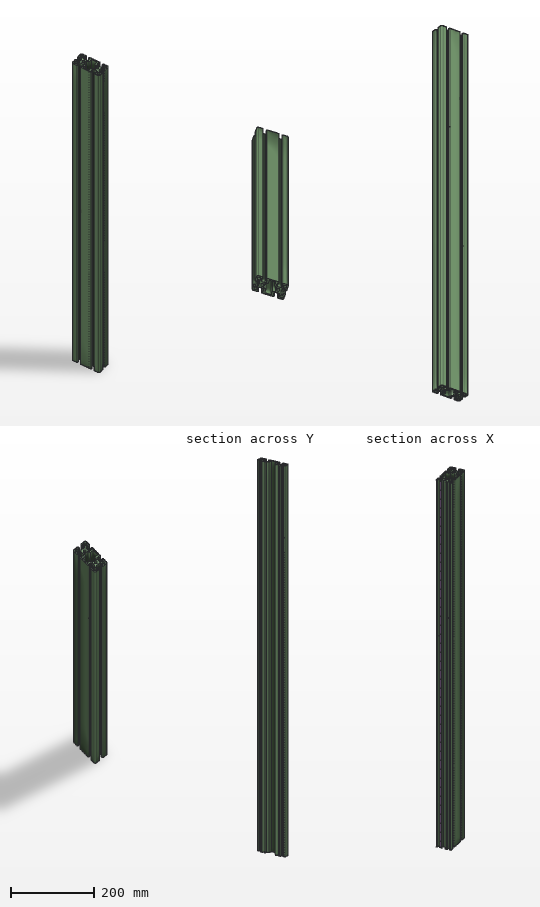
import cadquery as cq
LENGTH = 1000.0
MODULE = 40.0
WIDTH = 2 * MODULE
HALF_MODULE = MODULE / 2
CORNER_RADIUS = 4.0

SLOT_OPENING = 8.0
LIP_RADIUS = 2.0
LIP_THICKNESS = 6.0
POCKET_WIDTH = 14.0
POCKET_ROOF_RISE = 2.5
POCKET_SIDE_HEIGHT = 4.4
POCKET_FLOOR_WIDTH = 8.0
SLOT_DEPTH = 12.0

CORE_BORE_DIAMETER = 6.8

CORNER_WALL = 3.5
CORNER_HOLLOW_SIZE = 6.8
CORNER_HOLLOW_RADIUS = 2.3

CAVITY_WALL = 3.2
CAVITY_HALF_WIDTH = 15.0
CAVITY_FLAT_HALF_HEIGHT = 5.3
CAVITY_NECK_HALF_WIDTH = 8.2
CAVITY_SHOULDER_HEIGHT = 7.5

ARC_INSET = 1 - 0.5**0.5


def t_slot(x, y, angle):
    """T-slot cutter with its mouth at (x, y); at angle 0 it opens toward +Y."""
    half_opening = SLOT_OPENING / 2
    half_pocket = POCKET_WIDTH / 2
    half_floor = POCKET_FLOOR_WIDTH / 2
    mouth = half_opening + LIP_RADIUS
    arc_x = half_opening + ARC_INSET * LIP_RADIUS
    outer_arc_y = -ARC_INSET * LIP_RADIUS
    inner_arc_y = -LIP_THICKNESS + ARC_INSET * LIP_RADIUS
    inner_tangent_y = -LIP_THICKNESS + LIP_RADIUS
    roof_y = -LIP_THICKNESS + POCKET_ROOF_RISE
    side_end_y = -LIP_THICKNESS - POCKET_SIDE_HEIGHT

    cutter = (
        cq.Workplane("XY")
        .moveTo(mouth, 0)
        .threePointArc((arc_x, outer_arc_y), (half_opening, -LIP_RADIUS))
        .lineTo(half_opening, inner_tangent_y)
        .threePointArc((arc_x, inner_arc_y), (mouth, -LIP_THICKNESS))
        .lineTo(half_pocket, roof_y)
        .lineTo(half_pocket, side_end_y)
        .lineTo(half_floor, -SLOT_DEPTH)
        .lineTo(-half_floor, -SLOT_DEPTH)
        .lineTo(-half_pocket, side_end_y)
        .lineTo(-half_pocket, roof_y)
        .lineTo(-mouth, -LIP_THICKNESS)
        .threePointArc((-arc_x, inner_arc_y), (-half_opening, inner_tangent_y))
        .lineTo(-half_opening, -LIP_RADIUS)
        .threePointArc((-arc_x, outer_arc_y), (-mouth, 0))
        .close()
        .extrude(LENGTH)
    )
    return cutter.rotate((0, 0, 0), (0, 0, 1), angle).translate((x, y, 0))


def core_bore(x):
    """Round bore along the axis of a module."""
    return cq.Workplane("XY").center(x, 0).circle(CORE_BORE_DIAMETER / 2).extrude(LENGTH)


def corner_hollow(x_side, y_side):
    """Rounded square hollow inside one outer corner."""
    inset = CORNER_WALL + CORNER_HOLLOW_SIZE / 2
    return (
        cq.Workplane("XY")
        .center(x_side * (WIDTH / 2 - inset), y_side * (HALF_MODULE - inset))
        .rect(CORNER_HOLLOW_SIZE, CORNER_HOLLOW_SIZE)
        .extrude(LENGTH)
        .edges("|Z")
        .fillet(CORNER_HOLLOW_RADIUS)
    )


def central_cavity():
    """Cross-shaped cavity, widest at mid-height and symmetric about both axes."""
    quarter = [
        (CAVITY_HALF_WIDTH, CAVITY_FLAT_HALF_HEIGHT),
        (CAVITY_NECK_HALF_WIDTH, CAVITY_SHOULDER_HEIGHT),
        (CAVITY_NECK_HALF_WIDTH, HALF_MODULE - CAVITY_WALL),
    ]
    upper = quarter + [(-x, y) for x, y in reversed(quarter)]
    lower = [(-x, -y) for x, y in upper]
    return cq.Workplane("XY").polyline(upper + lower).close().extrude(LENGTH)


result = cq.Workplane("XY").rect(WIDTH, MODULE).extrude(LENGTH).edges("|Z").fillet(CORNER_RADIUS)
result = result.cut(central_cavity())
for x_side in (-1, 1):
    module_x = x_side * HALF_MODULE
    result = result.cut(core_bore(module_x))
    result = result.cut(t_slot(x_side * WIDTH / 2, 0, -90 * x_side))
    result = result.cut(t_slot(module_x, HALF_MODULE, 0))
    result = result.cut(t_slot(module_x, -HALF_MODULE, 180))
    for y_side in (-1, 1):
        result = result.cut(corner_hollow(x_side, y_side))